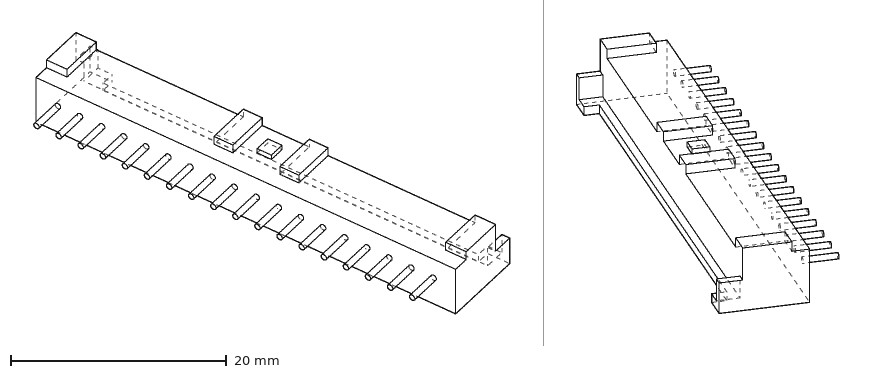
import cadquery as cq


length = 47.5
body_depth = 6.45
body_height = 5.45
overall_height = 6.4

wall = 0.9
ledge_depth = 0.8
ear_depth = 2.3
ear_width = 2.5
cheek_height = 3.15

pad_front = 1.7
pad_depth = body_depth - pad_front
end_pad_width = 2.35
middle_pad_width = 2.15
middle_pad_gap = 5.3
key_width = 1.6
key_depth = 1.7
key_front = 3.0
key_top = 6.0

pin_count = 18
pin_row_span = 42.5
pin_pitch = pin_row_span / (pin_count - 1)
pin_diameter = 0.6
pin_length = 3.45
pin_height = overall_height / 2


def block(x_center, width, y_front, depth, z_bottom, z_top):
    """Box centred on x_center, reaching back from y_front and up from z_bottom."""
    return (
        cq.Workplane("XY")
        .box(width, depth, z_top - z_bottom, centered=(True, False, False))
        .translate((x_center, y_front, z_bottom))
    )


def pin(x):
    """Round pin pointing forward out of the front face."""
    return (
        cq.Workplane("XZ")
        .center(x, pin_height)
        .circle(pin_diameter / 2)
        .extrude(pin_length)
    )


housing = block(0, length, 0, body_depth, 0, body_height)
housing = housing.union(block(0, length, body_depth, ledge_depth, 0, wall))

for side in (-1, 1):
    ear_x = side * (length - ear_width) / 2
    cheek_x = side * (length - wall) / 2
    end_pad_x = side * (length - end_pad_width) / 2
    middle_pad_x = side * (middle_pad_gap + middle_pad_width) / 2
    housing = housing.union(block(ear_x, ear_width, body_depth, ear_depth, 0, wall))
    housing = housing.union(block(cheek_x, wall, body_depth, ear_depth, 0, cheek_height))
    for pad_x, pad_width in ((end_pad_x, end_pad_width), (middle_pad_x, middle_pad_width)):
        pad = block(pad_x, pad_width, pad_front, pad_depth, body_height, overall_height)
        housing = housing.union(pad)

housing = housing.union(block(0, key_width, key_front, key_depth, body_height, key_top))

result = housing
for index in range(pin_count):
    result = result.union(pin(index * pin_pitch - pin_row_span / 2))